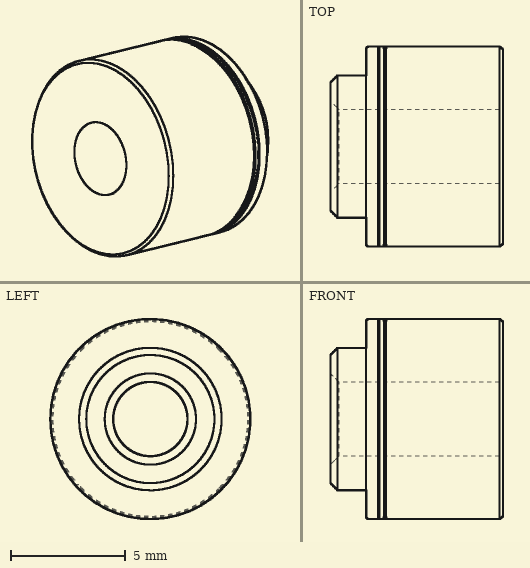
import cadquery as cq

body_diameter = 8.74
total_length = 7.53
hub_length = 1.56
hub_diameter = 6.22
hub_chamfer = 0.315
bore_diameter = 3.23
countersink_diameter = 3.985
shoulder_fillet = 0.12
end_chamfer_length = 0.16
end_chamfer_height = 0.12

grooves = [
    (2.08, 0.06, 0.05),
    (2.33, 0.1, 0.09),
]


def cylinder(start, length, diameter):
    """Solid cylinder along X, beginning at X = start."""
    return cq.Workplane("YZ", origin=(start, 0, 0)).circle(diameter / 2).extrude(length)


def make_body():
    """Main cylinder with a rounded shoulder and a chamfered far end."""
    body = cylinder(hub_length, total_length - hub_length, body_diameter)
    body = body.faces("<X").edges().fillet(shoulder_fillet)
    return body.faces(">X").edges().chamfer(end_chamfer_length, end_chamfer_height)


def make_hub():
    """Smaller cylinder with a 45-degree chamfer on its free edge."""
    hub = cylinder(0, hub_length, hub_diameter)
    return hub.faces("<X").edges().chamfer(hub_chamfer)


def cut_groove(part, start, width, depth):
    """Cut a square-bottomed ring groove into the body."""
    ring = cylinder(start, width, body_diameter).cut(
        cylinder(start, width, body_diameter - 2 * depth)
    )
    return part.cut(ring)


def cut_bore(part):
    """Cut the through bore and the 45-degree countersink at the hub face."""
    countersink_depth = (countersink_diameter - bore_diameter) / 2
    countersink = (
        cq.Workplane("YZ")
        .circle(countersink_diameter / 2)
        .workplane(offset=countersink_depth)
        .circle(bore_diameter / 2)
        .loft(ruled=True)
    )
    return part.cut(cylinder(0, total_length, bore_diameter)).cut(countersink)


result = make_body().union(make_hub())
for groove_start, groove_width, groove_depth in grooves:
    result = cut_groove(result, groove_start, groove_width, groove_depth)
result = cut_bore(result)